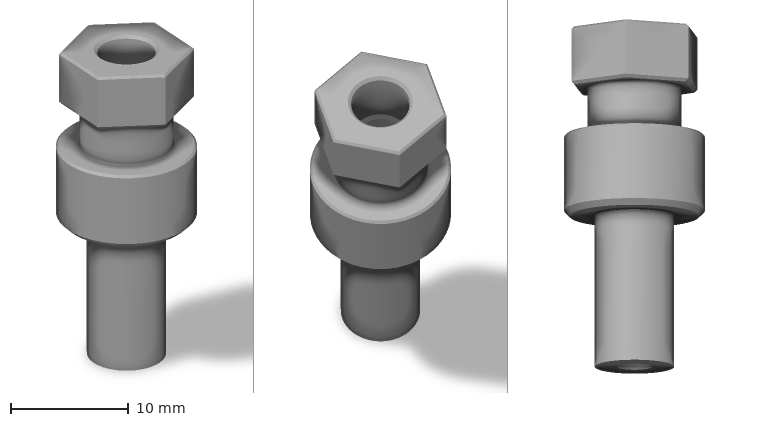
import cadquery as cq
import math

total_height = 29.0
stem_height = 13.0
collar_height = 7.0
head_height = 5.0
collar_top = stem_height + collar_height
head_bottom = total_height - head_height

stem_diameter = 6.75
collar_diameter = 12.0
neck_diameter = 8.0
head_across_flats = 10.0

through_diameter = 3.02
countersink_diameter = 4.0
counterbore_diameter = 5.0
counterbore_depth = head_height

small_chamfer = 0.2
head_lower_chamfer = 0.25
collar_lower_chamfer = 0.5
neck_fillet = 0.2
mouth_chamfer = 0.25


def cylinder(diameter, bottom, height):
    """Vertical cylinder on the part axis."""
    return cq.Workplane("XY").workplane(offset=bottom).circle(diameter / 2).extrude(height)


def make_head():
    """Hexagonal head with two corners on the X axis."""
    across_corners = head_across_flats / math.cos(math.pi / 6)
    return (
        cq.Workplane("XY")
        .workplane(offset=head_bottom)
        .polygon(6, across_corners)
        .extrude(head_height)
        .faces(">Z").chamfer(small_chamfer)
        .faces("<Z").chamfer(head_lower_chamfer)
    )


def make_collar():
    """Round collar with a light upper chamfer and a heavier lower one."""
    return (
        cylinder(collar_diameter, stem_height, collar_height)
        .faces(">Z").chamfer(small_chamfer)
        .faces("<Z").chamfer(collar_lower_chamfer)
    )


def make_neck():
    """Neck turned from a profile, flaring through a concave fillet at each end."""
    radius = neck_diameter / 2
    flare_radius = radius + neck_fillet
    arc_middle = neck_fillet * math.sqrt(0.5)
    return (
        cq.Workplane("XZ")
        .moveTo(0, collar_top)
        .lineTo(flare_radius, collar_top)
        .threePointArc(
            (flare_radius - arc_middle, collar_top + neck_fillet - arc_middle),
            (radius, collar_top + neck_fillet),
        )
        .lineTo(radius, head_bottom - neck_fillet)
        .threePointArc(
            (flare_radius - arc_middle, head_bottom - neck_fillet + arc_middle),
            (flare_radius, head_bottom),
        )
        .lineTo(0, head_bottom)
        .close()
        .revolve(360, (0, 0), (0, 1))
    )


def make_bore():
    """Stepped bore: chamfered mouth, counterbore, countersink, through hole."""
    through_radius = through_diameter / 2
    countersink_radius = countersink_diameter / 2
    counterbore_radius = counterbore_diameter / 2
    counterbore_floor = total_height - counterbore_depth
    countersink_depth = countersink_radius - through_radius
    return (
        cq.Workplane("XZ")
        .moveTo(0, 0)
        .lineTo(through_radius, 0)
        .lineTo(through_radius, counterbore_floor - countersink_depth)
        .lineTo(countersink_radius, counterbore_floor)
        .lineTo(counterbore_radius, counterbore_floor)
        .lineTo(counterbore_radius, total_height - mouth_chamfer)
        .lineTo(counterbore_radius + mouth_chamfer, total_height)
        .lineTo(0, total_height)
        .close()
        .revolve(360, (0, 0), (0, 1))
    )


stem = cylinder(stem_diameter, 0, stem_height)
result = stem.union(make_collar()).union(make_neck()).union(make_head()).cut(make_bore())